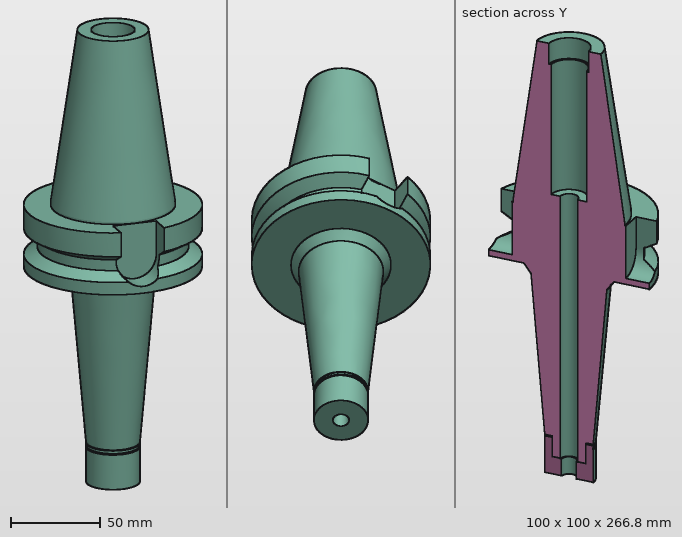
import cadquery as cq
import math

total_length = 266.8

shank_top_radius = 20.0
shank_base_radius = 35.0
shank_base_z = 165.0
neck_length = 1.3

flange_radius = 50.02
flange_bottom_z = 127.0
flange_top_z = shank_base_z - neck_length
groove_floor_radius = 42.5
groove_center_z = 142.0
groove_floor_width = 6.5
groove_wall_angle = 30.0

slot_width = 25.5
slot_bottom_z = 131.0
slot_floor_x = 35.5

stem_flare_radius = 28.0
stem_top_radius = 23.7
stem_top_z = 121.5
stem_end_radius = 15.2
stem_end_z = 23.5

entry_bore_radius = 12.3
entry_bore_depth = 12.8
main_bore_radius = 11.0
main_bore_depth = 93.5
channel_radius = 5.3

nut_radius = stem_end_radius
nut_gap = 0.5
nut_bore_radius = 4.5
nut_top_z = stem_end_z - nut_gap
nut_groove_bottom_z = 20.5
nut_groove_width = 0.8
nut_groove_depth = 0.1
spigot_radius = 10.7
spigot_bottom_z = 10.7


def cylinder(radius, bottom_z, top_z):
    """Solid cylinder on the Z axis."""
    return cq.Workplane("XY").workplane(offset=bottom_z).circle(radius).extrude(top_z - bottom_z)


def holder_blank():
    """Revolved outline of shank, flange, stem and spigot."""
    half_floor = groove_floor_width / 2
    wall_height = (flange_radius - groove_floor_radius) * math.tan(math.radians(groove_wall_angle))
    half_opening = half_floor + wall_height
    outline = [
        (0, spigot_bottom_z),
        (spigot_radius, spigot_bottom_z),
        (spigot_radius, stem_end_z),
        (stem_end_radius, stem_end_z),
        (stem_top_radius, stem_top_z),
        (stem_flare_radius, flange_bottom_z),
        (flange_radius, flange_bottom_z),
        (flange_radius, groove_center_z - half_opening),
        (groove_floor_radius, groove_center_z - half_floor),
        (groove_floor_radius, groove_center_z + half_floor),
        (flange_radius, groove_center_z + half_opening),
        (flange_radius, flange_top_z),
        (shank_base_radius, flange_top_z),
        (shank_base_radius, shank_base_z),
        (shank_top_radius, total_length),
        (0, total_length),
    ]
    return cq.Workplane("XZ").polyline(outline).close().revolve(360, (0, 0), (0, 1))


def drive_slot(side):
    """Round-bottomed slot cutter on the +X (side = 1) or -X (side = -1) side."""
    half_width = slot_width / 2
    round_center_z = slot_bottom_z + half_width
    return (
        cq.Workplane("YZ")
        .workplane(offset=side * slot_floor_x)
        .moveTo(-half_width, flange_top_z)
        .lineTo(-half_width, round_center_z)
        .threePointArc((0, slot_bottom_z), (half_width, round_center_z))
        .lineTo(half_width, flange_top_z)
        .close()
        .extrude(side * (flange_radius - slot_floor_x))
    )


def make_holder():
    """Tool holder with drive slots and a stepped through bore."""
    body = holder_blank()
    for side in (-1, 1):
        body = body.cut(drive_slot(side))
    body = body.cut(cylinder(entry_bore_radius, total_length - entry_bore_depth, total_length))
    body = body.cut(cylinder(main_bore_radius, total_length - main_bore_depth, total_length))
    return body.cut(cylinder(channel_radius, spigot_bottom_z, total_length))


def make_nut():
    """Round nut with a spigot recess, a through bore and a fine outer groove."""
    body = cylinder(nut_radius, 0, nut_top_z)
    body = body.cut(cylinder(spigot_radius, spigot_bottom_z, nut_top_z))
    body = body.cut(cylinder(nut_bore_radius, 0, spigot_bottom_z))
    groove_top_z = nut_groove_bottom_z + nut_groove_width
    groove_core = cylinder(nut_radius - nut_groove_depth, nut_groove_bottom_z, groove_top_z)
    groove = cylinder(nut_radius, nut_groove_bottom_z, groove_top_z).cut(groove_core)
    return body.cut(groove)


holder = make_holder()
nut = make_nut()
result = cq.Compound.makeCompound([holder.val(), nut.val()])